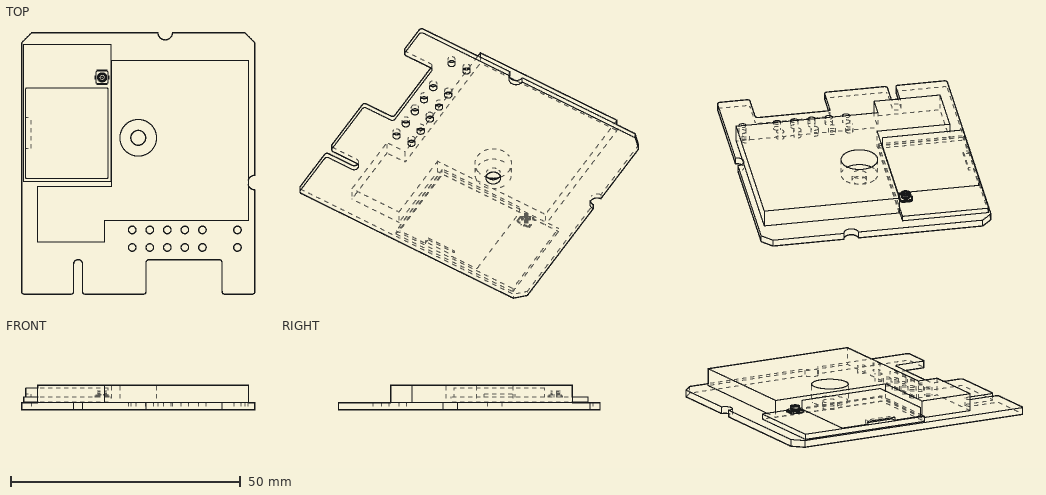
import cadquery as cq


BOARD_WIDTH = 50.8
BOARD_LENGTH = 56.95
BOARD_THICKNESS = 1.55
BOARD_CHAMFER = 2.2
EDGE_CORNER_RADIUS = 0.6
CUTOUT_DEPTH = 7.5
KEY_SLOT_CENTER_X = 12.3
KEY_SLOT_WIDTH = 1.9
KEY_SLOT_END_RADIUS = 0.9
BAY_LEFT_X = 27.1
BAY_RIGHT_X = 43.6
NOTCH_DIAMETER = 3.15
TOP_NOTCH_X = 31.25
SIDE_NOTCH_Y = 24.3
PIN_HOLE_DIAMETER = 1.6
PIN_PITCH = 3.8
FIRST_PIN_X = 24.1
FIRST_PIN_Y = 10.2
PIN_COLUMNS = (0, 1, 2, 3, 4, 6)
PIN_ROWS = (0, 1)

SCREW_X = BOARD_WIDTH / 2
SCREW_Y = 34.05
SCREW_HOLE_DIAMETER = 3.2
SCREW_HEAD_DIAMETER = 8.0

TOTAL_HEIGHT = 5.35
COVER_HEIGHT = TOTAL_HEIGHT - BOARD_THICKNESS
COVER_RIGHT_X = 49.4
COVER_TOP_Y = 50.9
COVER_BOTTOM_Y = 16.05
COVER_INNER_X = 19.6
FOOT_LEFT_X = 3.55
FOOT_RIGHT_X = 18.1
FOOT_TOP_Y = 23.4
FOOT_BOTTOM_Y = 11.4

MODULE_GAP = 0.1
MODULE_X = 0.45
MODULE_Y = 24.55
MODULE_WIDTH = 19.0
MODULE_LENGTH = 29.8
MODULE_THICKNESS = 1.15
MODULE_BOTTOM_Z = BOARD_THICKNESS + MODULE_GAP
MODULE_TOP_Z = MODULE_BOTTOM_Z + MODULE_THICKNESS
SHIELD_X = 0.9
SHIELD_Y = 25.15
SHIELD_WIDTH = 17.9
SHIELD_LENGTH = 19.7
SHIELD_HEIGHT = 2.0
SHIELD_RADIUS = 0.2
SHIELD_SLOT_Y = 31.7
SHIELD_SLOT_LENGTH = 6.7
SHIELD_SLOT_HEIGHT = 0.6
SHIELD_SLOT_DEPTH = 1.15

COAX_X = 17.55
COAX_Y = 47.2
COAX_BASE_WIDTH = 2.55
COAX_BASE_LENGTH = 2.75
COAX_BASE_HEIGHT = 0.4
COAX_BASE_CHAMFER = 0.15
COAX_TAB_HEIGHT = 0.15
GROUND_TAB_WIDTH = 2.15
GROUND_TAB_SPAN = 3.2
SIGNAL_TAB_WIDTH = 0.7
SIGNAL_TAB_SPAN = 3.0
COAX_HEIGHT = 1.3
BARREL_DIAMETER = 2.0
BARREL_BORE = 1.3
BARREL_BORE_CHAMFER = 0.15
BARREL_FOOT_DIAMETER = 1.9
BARREL_FOOT_HEIGHT = 0.2
BARREL_NECK_DIAMETER = 1.75
BARREL_LIP_HEIGHT = 0.45
COAX_PIN_DIAMETER = 0.5
COAX_PIN_HEIGHT = 1.0


def box(x, y, z, width, length, height):
    """Block with its lowest corner at x, y, z."""
    return cq.Workplane("XY").box(width, length, height, centered=False).translate((x, y, z))


def rod(x, y, z, diameter, height):
    """Upright cylinder with its foot centred on x, y, z."""
    return cq.Workplane("XY").circle(diameter / 2).extrude(height).translate((x, y, z))


def front_opening(left_x, width, corner_radius):
    """Cutter for an opening in the board's front edge, rounded at its inner end."""
    opening = box(left_x, 0, 0, width, CUTOUT_DEPTH, BOARD_THICKNESS)
    return opening.edges("|Z and >Y").fillet(corner_radius)


def make_board():
    board = box(0, 0, 0, BOARD_WIDTH, BOARD_LENGTH, BOARD_THICKNESS)
    board = board.edges("|Z and >Y").chamfer(BOARD_CHAMFER)

    slot_left = KEY_SLOT_CENTER_X - KEY_SLOT_WIDTH / 2
    key_slot = front_opening(slot_left, KEY_SLOT_WIDTH, KEY_SLOT_END_RADIUS)
    bay = front_opening(BAY_LEFT_X, BAY_RIGHT_X - BAY_LEFT_X, EDGE_CORNER_RADIUS)
    board = board.cut(key_slot).cut(bay)
    board = board.edges("|Z and <Y").fillet(EDGE_CORNER_RADIUS)

    for x, y in ((TOP_NOTCH_X, BOARD_LENGTH), (BOARD_WIDTH, SIDE_NOTCH_Y)):
        board = board.cut(rod(x, y, 0, NOTCH_DIAMETER, BOARD_THICKNESS))

    board = board.cut(rod(SCREW_X, SCREW_Y, 0, SCREW_HOLE_DIAMETER, BOARD_THICKNESS))
    for column in PIN_COLUMNS:
        for row in PIN_ROWS:
            x = FIRST_PIN_X + column * PIN_PITCH
            y = FIRST_PIN_Y + row * PIN_PITCH
            board = board.cut(rod(x, y, 0, PIN_HOLE_DIAMETER, BOARD_THICKNESS))
    return board


def make_cover():
    outline = [
        (COVER_INNER_X, COVER_TOP_Y),
        (COVER_RIGHT_X, COVER_TOP_Y),
        (COVER_RIGHT_X, COVER_BOTTOM_Y),
        (FOOT_RIGHT_X, COVER_BOTTOM_Y),
        (FOOT_RIGHT_X, FOOT_BOTTOM_Y),
        (FOOT_LEFT_X, FOOT_BOTTOM_Y),
        (FOOT_LEFT_X, FOOT_TOP_Y),
        (COVER_INNER_X, FOOT_TOP_Y),
    ]
    cover = cq.Workplane("XY").polyline(outline).close().extrude(COVER_HEIGHT)
    cover = cover.translate((0, 0, BOARD_THICKNESS))
    return cover.cut(rod(SCREW_X, SCREW_Y, BOARD_THICKNESS, SCREW_HEAD_DIAMETER, COVER_HEIGHT))


def make_module():
    base = box(MODULE_X, MODULE_Y, MODULE_BOTTOM_Z, MODULE_WIDTH, MODULE_LENGTH, MODULE_THICKNESS)
    shield = box(SHIELD_X, SHIELD_Y, MODULE_TOP_Z, SHIELD_WIDTH, SHIELD_LENGTH, SHIELD_HEIGHT)
    shield = shield.edges("|Z or >Z").fillet(SHIELD_RADIUS)

    slot = box(
        SHIELD_X, SHIELD_SLOT_Y, MODULE_TOP_Z,
        SHIELD_SLOT_DEPTH, SHIELD_SLOT_LENGTH, SHIELD_SLOT_HEIGHT,
    )
    return base.union(shield.cut(slot))


def make_coax_connector():
    base = cq.Workplane("XY").rect(COAX_BASE_WIDTH, COAX_BASE_LENGTH).extrude(COAX_BASE_HEIGHT)
    base = base.edges("|Z").chamfer(COAX_BASE_CHAMFER)
    ground_tabs = cq.Workplane("XY").rect(GROUND_TAB_WIDTH, GROUND_TAB_SPAN).extrude(COAX_TAB_HEIGHT)
    signal_tabs = cq.Workplane("XY").rect(SIGNAL_TAB_SPAN, SIGNAL_TAB_WIDTH).extrude(COAX_TAB_HEIGHT)
    connector = base.union(ground_tabs).union(signal_tabs)

    barrel = rod(0, 0, 0, BARREL_NECK_DIAMETER, COAX_HEIGHT)
    lip = rod(0, 0, COAX_HEIGHT - BARREL_LIP_HEIGHT, BARREL_DIAMETER, BARREL_LIP_HEIGHT)
    foot = rod(0, 0, COAX_BASE_HEIGHT, BARREL_FOOT_DIAMETER, BARREL_FOOT_HEIGHT)
    bore = rod(0, 0, COAX_BASE_HEIGHT, BARREL_BORE, COAX_HEIGHT - COAX_BASE_HEIGHT)
    pin = rod(0, 0, 0, COAX_PIN_DIAMETER, COAX_PIN_HEIGHT)
    inner_rim = cq.selectors.RadiusNthSelector(0)
    barrel = barrel.union(lip).union(foot).cut(bore)
    barrel = barrel.faces(">Z").edges(inner_rim).chamfer(BARREL_BORE_CHAMFER)
    connector = connector.union(barrel).union(pin)
    return connector.translate((COAX_X, COAX_Y, MODULE_TOP_Z))


board = make_board()
cover = make_cover()
module = make_module()
coax_connector = make_coax_connector()

result = cq.Compound.makeCompound([board.val(), cover.val(), module.val(), coax_connector.val()])